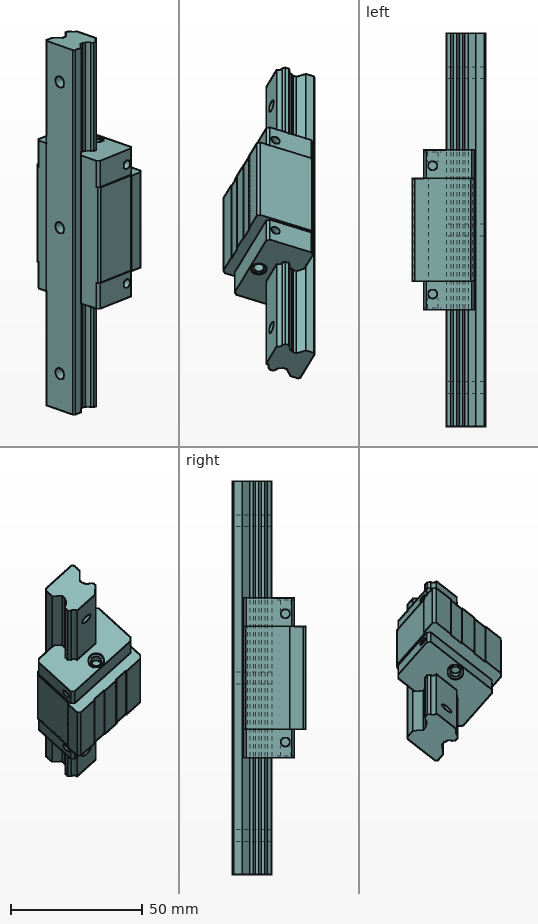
import cadquery as cq


rail_length = 150.0
rail_width = 15.0
rail_height = 15.0
base_chamfer = 0.6
flank_bottom = 3.9
waist_bottom = 6.6
waist_top = 8.0
waist_width = 9.3
head_bottom = 11.1
head_top = 12.5
head_chamfer = 0.9
head_flat_width = 10.2
raceway_radius = 1.6
lower_raceway_end = 8.7

bolt_hole_diameter = 4.5
bolt_hole_pitch = 60.0
bolt_hole_count = 3

carriage_length = 60.9
carriage_bottom = 4.4

block_length = 39.3
block_width = 34.0
block_top = 28.0
block_top_chamfer = 1.0
block_bottom_chamfer = 1.4

cap_width = 32.2
cap_top = 23.7
cap_chamfer = 1.0

datum_relief_depth = 0.5
datum_relief_top = 21.9

groove_depth = 0.3
groove_width = 5.4
groove_offset = 5.8

port_height = 20.2
end_port_diameter = 4.0
end_port_depth = 4.5
end_recess_diameter = 6.0
end_recess_depth = 0.8
side_port_diameter = 3.5
side_port_depth = 3.0
side_port_inset = 6.0


def extrude_along_z(outline, length):
    """Extrude an XY outline symmetrically about Z = 0."""
    return outline.extrude(length / 2, both=True)


def make_rail_bar():
    """Rail profile without its bolt holes."""
    half = rail_width / 2
    half_waist = waist_width / 2
    raceway_edge = half - head_chamfer
    half_flat = head_flat_width / 2
    upper_raceway_end = (half_flat, rail_height)
    lower_raceway_start = (raceway_edge, head_bottom - head_chamfer)
    outline = (
        cq.Workplane("XY")
        .moveTo(0, 0)
        .lineTo(half - base_chamfer, 0)
        .lineTo(half, base_chamfer)
        .lineTo(half, flank_bottom)
        .lineTo(half_waist, waist_bottom)
        .lineTo(half_waist, waist_top)
        .lineTo(half_flat, lower_raceway_end)
        .radiusArc(lower_raceway_start, raceway_radius)
        .lineTo(half, head_bottom)
        .lineTo(half, head_top)
        .lineTo(raceway_edge, head_top + head_chamfer)
        .radiusArc(upper_raceway_end, raceway_radius)
        .lineTo(0, rail_height)
        .mirrorY()
    )
    return extrude_along_z(outline, rail_length)


def make_rail(rail_bar):
    """Rail with a row of through bolt holes."""
    first_hole = -bolt_hole_pitch * (bolt_hole_count - 1) / 2
    rail = rail_bar
    for index in range(bolt_hole_count):
        hole = (
            cq.Workplane("XZ", origin=(0, 0, first_hole + index * bolt_hole_pitch))
            .circle(bolt_hole_diameter / 2)
            .extrude(-rail_height)
        )
        rail = rail.cut(hole)
    return rail


def chamfered_bar(width, top, length, top_chamfer, bottom_chamfer):
    """Bar on the carriage's underside plane with chamfered long edges."""
    height = top - carriage_bottom
    bar = cq.Workplane("XY").box(width, height, length).translate((0, carriage_bottom + height / 2, 0))
    bar = bar.faces(">Y").edges("|Z").chamfer(top_chamfer)
    return bar.faces("<Y").edges("|Z").chamfer(bottom_chamfer)


def make_block():
    """Middle block with its datum relief and mounting-face grooves."""
    block = chamfered_bar(block_width, block_top, block_length, block_top_chamfer, block_bottom_chamfer)
    relief_height = datum_relief_top - carriage_bottom
    relief = extrude_along_z(
        cq.Workplane("XY")
        .moveTo(block_width / 2, carriage_bottom + relief_height / 2)
        .rect(2 * datum_relief_depth, relief_height),
        block_length,
    )
    grooves = extrude_along_z(
        cq.Workplane("XY")
        .pushPoints([(-groove_offset, block_top), (groove_offset, block_top)])
        .rect(groove_width, 2 * groove_depth),
        block_length,
    )
    return block.cut(relief).cut(grooves)


def make_end_port(end):
    """Recessed lubrication port entering the end cap at +Z (end = 1) or -Z (end = -1)."""
    face = cq.Workplane("XY", origin=(0, port_height, end * carriage_length / 2))
    port = face.circle(end_port_diameter / 2).extrude(-end * end_port_depth)
    recess = face.circle(end_recess_diameter / 2).extrude(-end * end_recess_depth)
    return port.union(recess)


def make_side_port(side, end):
    """Blind port entering an end cap from the +X (side = 1) or -X (side = -1) face."""
    position = (side * cap_width / 2, port_height, end * (carriage_length / 2 - side_port_inset))
    return cq.Workplane("YZ", origin=position).circle(side_port_diameter / 2).extrude(-side * side_port_depth)


def make_carriage(rail_bar):
    """Block and end caps in one solid, with a channel that fits the rail."""
    caps = chamfered_bar(cap_width, cap_top, carriage_length, cap_chamfer, cap_chamfer)
    carriage = make_block().union(caps)
    carriage = carriage.cut(rail_bar)
    for end in (-1, 1):
        carriage = carriage.cut(make_end_port(end))
        for side in (-1, 1):
            carriage = carriage.cut(make_side_port(side, end))
    return carriage


rail_bar = make_rail_bar()
rail = make_rail(rail_bar)
carriage = make_carriage(rail_bar)

result = cq.Compound.makeCompound([rail.val(), carriage.val()])